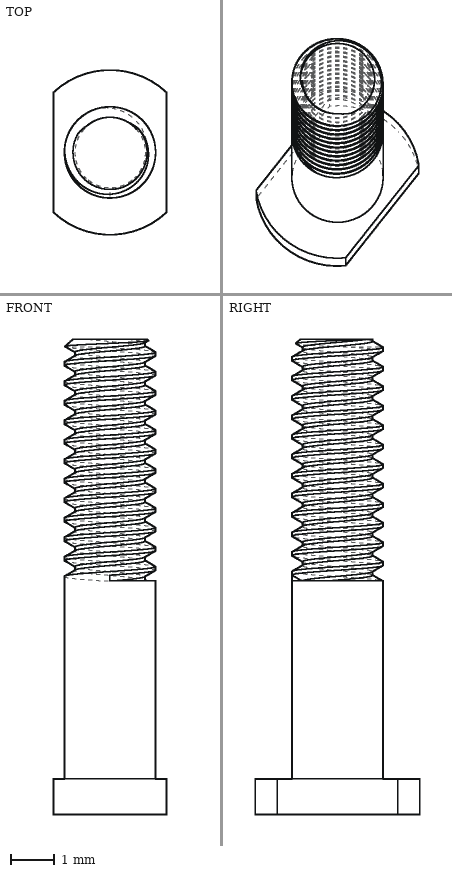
import cadquery as cq
import math

total_length = 10.99
shank_radius = 1.05

head_length = 3.81
head_radius = head_length / 2
head_width = 2.62
head_height = 0.82

pitch = 0.45
root_radius = 0.81
root_flat = 0.09
extra_turns = 5
flank_half_angle = 30.0
groove_start_height = 5.35
ledge_height = 5.41

tip_radius = 0.86
tip_chamfer_height = 0.18

overcut = 0.01


def make_head():
    disc = cq.Workplane("XY").circle(head_radius).extrude(head_height)
    flats = cq.Workplane("XY").rect(head_width, head_length).extrude(head_height)
    return disc.intersect(flats)


def make_thread_groove():
    """Helical V groove with a flat root, kept above the solid shank."""
    helix_height = total_length + pitch - groove_start_height
    helix = cq.Workplane(cq.Wire.makeHelix(pitch, helix_height, root_radius))

    outer_radius = shank_radius + overcut
    flank_rise = (outer_radius - root_radius) * math.tan(math.radians(flank_half_angle))
    half_root = root_flat / 2
    half_mouth = half_root + flank_rise
    profile = [
        (root_radius, -half_root),
        (outer_radius, -half_mouth),
        (outer_radius, half_mouth),
        (root_radius, half_root),
    ]
    groove = cq.Workplane("XZ").polyline(profile).close().sweep(helix, isFrenet=True)
    groove = groove.rotate((0, 0, 0), (0, 0, 1), -90)
    groove = groove.translate((0, 0, groove_start_height))

    solid_shank = cq.Workplane("XY").circle(head_radius).extrude(ledge_height)
    return groove.cut(solid_shank)


def make_threaded_rod():
    """Shank with its thread, running past the tip so that the tip can be trimmed."""
    rod_length = total_length + extra_turns * pitch
    return cq.Workplane("XY").circle(shank_radius).extrude(rod_length).cut(make_thread_groove())


def make_tip_trimmer():
    """Everything outside the chamfer and above the flat end."""
    outer_radius = 2 * shank_radius
    chamfer_slope = (shank_radius - tip_radius) / tip_chamfer_height
    trim_drop = (outer_radius - tip_radius) / chamfer_slope
    profile = [
        (0, total_length),
        (tip_radius, total_length),
        (outer_radius, total_length - trim_drop),
        (outer_radius, 2 * total_length),
        (0, 2 * total_length),
    ]
    return cq.Workplane("XZ").polyline(profile).close().revolve(360, (0, 0), (0, 1))


result = make_threaded_rod().cut(make_tip_trimmer()).union(make_head())